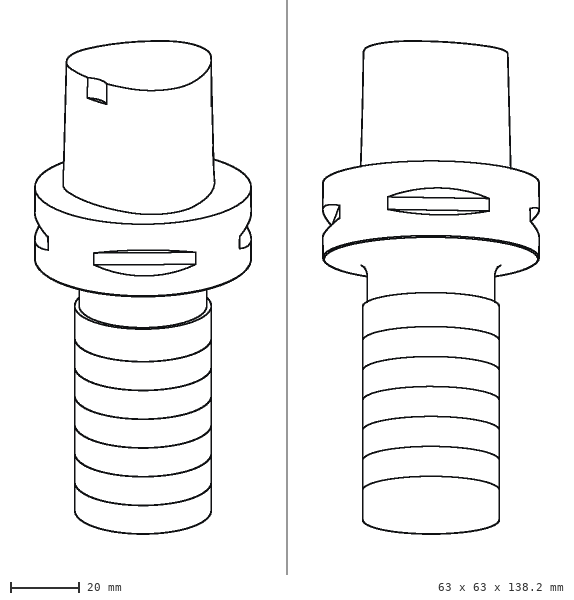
import cadquery as cq
import math

SHANK_LENGTH = 38.0
LOBE_REACH = 23.5
FLANK_REACH = 20.35
LOBE_RADIUS = 14.6
TAPER_PER_SIDE = 1 / 40
LOBE_COUNT = 3
LOBE_STEP = 360 / LOBE_COUNT
FIRST_LOBE_ANGLE = 90.0

NOTCH_RADIUS = 7.0
NOTCH_DEPTH = 6.25
NOTCH_FLOOR_Y = -18.1

FLANGE_DIAMETER = 63.0
FLANGE_HEIGHT = 22.6
FLANGE_CHAMFER = 0.4

SLOT_COUNT = 4
FIRST_SLOT_ANGLE = 45.0
SLOT_FLOOR_REACH = 27.8
SLOT_FLOOR_WIDTH = 3.7
SLOT_MOUTH_WIDTH = 8.0
SLOT_Z = -12.0

NECK_DIAMETER = 37.17
NECK_FILLET = 5.0

RING_DIAMETER = 39.8
RING_COUNT = 7
RING_PITCH = 8.9
TOP_RING_HEIGHT = 10.1
RING_FILLET = 0.2
STACK_BOTTOM_Z = -100.21
STACK_TOP_Z = STACK_BOTTOM_Z + (RING_COUNT - 1) * RING_PITCH + TOP_RING_HEIGHT


def polar(reach, angle):
    """Point at a distance and an angle in degrees from the axis."""
    return (reach * math.cos(math.radians(angle)), reach * math.sin(math.radians(angle)))


def polygon_section(inset):
    """Closed outline of six tangent arcs, three lobes and three flanks, offset inwards by `inset`."""
    lobe_centre = LOBE_REACH - LOBE_RADIUS
    sideways = lobe_centre * math.sin(math.radians(LOBE_STEP / 2))
    inward = lobe_centre * math.cos(math.radians(LOBE_STEP / 2))
    gap = FLANK_REACH - inward
    flank_radius = LOBE_RADIUS + (sideways**2 + (gap - LOBE_RADIUS) ** 2) / (2 * (gap - LOBE_RADIUS))
    flank_half_angle = math.degrees(math.asin(sideways / (flank_radius - LOBE_RADIUS)))
    lobe_half_angle = LOBE_STEP / 2 - flank_half_angle

    def on_lobe(lobe_angle, turn):
        centre_x, centre_y = polar(lobe_centre, lobe_angle)
        offset_x, offset_y = polar(LOBE_RADIUS - inset, lobe_angle + turn)
        return (centre_x + offset_x, centre_y + offset_y)

    outline = cq.Workplane("XY").moveTo(*on_lobe(FIRST_LOBE_ANGLE, -lobe_half_angle))
    for index in range(LOBE_COUNT):
        lobe_angle = FIRST_LOBE_ANGLE + index * LOBE_STEP
        flank_middle = polar(FLANK_REACH - inset, lobe_angle + LOBE_STEP / 2)
        outline = outline.threePointArc(on_lobe(lobe_angle, 0), on_lobe(lobe_angle, lobe_half_angle))
        outline = outline.threePointArc(flank_middle, on_lobe(lobe_angle + LOBE_STEP, -lobe_half_angle))
    return outline.close().wire().val()


def make_shank():
    foot = polygon_section(0)
    top = polygon_section(SHANK_LENGTH * TAPER_PER_SIDE).translate(cq.Vector(0, 0, SHANK_LENGTH))
    shank = cq.Workplane(cq.Solid.makeLoft([foot, top], True))
    notch = (
        cq.Workplane("XY", origin=(0, NOTCH_FLOOR_Y - NOTCH_RADIUS, SHANK_LENGTH - NOTCH_DEPTH))
        .circle(NOTCH_RADIUS)
        .extrude(NOTCH_DEPTH)
    )
    return shank.cut(notch)


def make_flange_and_neck():
    """Revolved flange and neck, with the neck flaring into the underside of the flange."""
    flange_radius = FLANGE_DIAMETER / 2
    neck_radius = NECK_DIAMETER / 2
    fillet_middle = NECK_FILLET * (1 - math.sqrt(0.5))
    return (
        cq.Workplane("XZ")
        .lineTo(flange_radius, 0)
        .lineTo(flange_radius, FLANGE_CHAMFER - FLANGE_HEIGHT)
        .lineTo(flange_radius - FLANGE_CHAMFER, -FLANGE_HEIGHT)
        .lineTo(neck_radius + NECK_FILLET, -FLANGE_HEIGHT)
        .threePointArc(
            (neck_radius + fillet_middle, -FLANGE_HEIGHT - fillet_middle),
            (neck_radius, -FLANGE_HEIGHT - NECK_FILLET),
        )
        .lineTo(neck_radius, STACK_TOP_Z)
        .lineTo(0, STACK_TOP_Z)
        .close()
        .revolve(360, (0, 0, 0), (0, 1, 0))
    )


def make_gripper_slot(angle):
    """Cutter with a flat floor and sloping sides, long enough to cross the rim."""
    rim_reach = FLANGE_DIAMETER / 2
    half_floor = SLOT_FLOOR_WIDTH / 2
    half_mouth = SLOT_MOUTH_WIDTH / 2
    return (
        cq.Workplane("XZ")
        .moveTo(SLOT_FLOOR_REACH, SLOT_Z - half_floor)
        .lineTo(rim_reach, SLOT_Z - half_mouth)
        .lineTo(rim_reach, SLOT_Z + half_mouth)
        .lineTo(SLOT_FLOOR_REACH, SLOT_Z + half_floor)
        .close()
        .extrude(FLANGE_DIAMETER / 2, both=True)
        .rotate((0, 0, 0), (0, 0, 1), angle)
    )


def make_holder():
    holder = make_flange_and_neck().union(make_shank())
    for index in range(SLOT_COUNT):
        holder = holder.cut(make_gripper_slot(FIRST_SLOT_ANGLE + index * 360 / SLOT_COUNT))
    return holder


def make_cutter_ring(bottom_z, height):
    """One disc of the stack, with its lower rim rounded so that the joints show as fine grooves."""
    return (
        cq.Workplane("XY", origin=(0, 0, bottom_z))
        .circle(RING_DIAMETER / 2)
        .extrude(height)
        .faces("<Z")
        .edges()
        .fillet(RING_FILLET)
    )


holder = make_holder()

cutter_rings = []
for ring_index in range(RING_COUNT):
    is_top_ring = ring_index == RING_COUNT - 1
    ring_height = TOP_RING_HEIGHT if is_top_ring else RING_PITCH
    cutter_rings.append(make_cutter_ring(STACK_BOTTOM_Z + ring_index * RING_PITCH, ring_height))

result = cq.Compound.makeCompound([holder.val()] + [ring.val() for ring in cutter_rings])